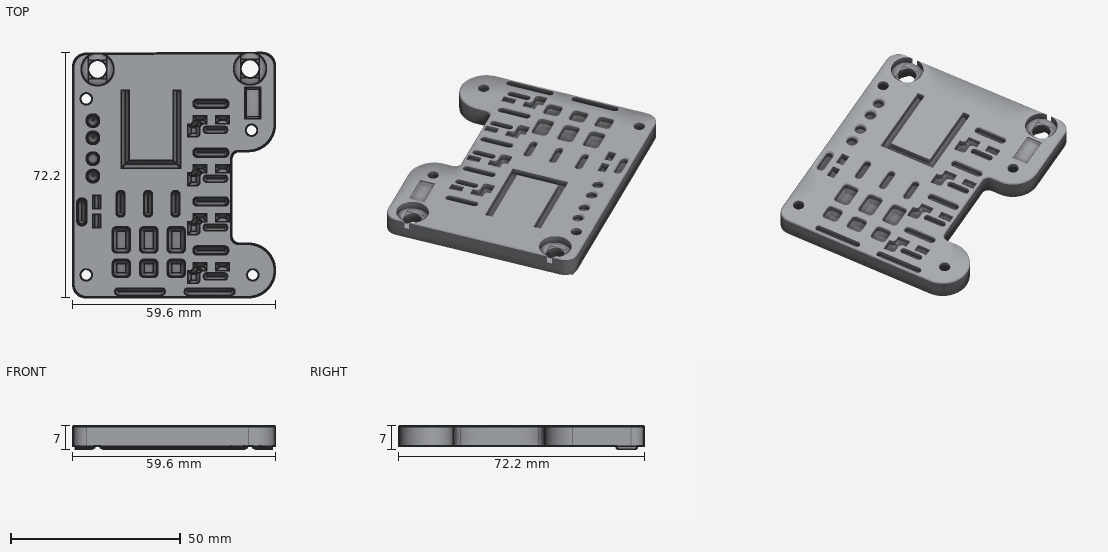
import cadquery as cq
import math

PLATE_THICKNESS = 6.0
PLATE_WIDTH = 59.65
PLATE_LENGTH = 72.2
CORNER_RADIUS = 4.0
TOP_SLOPE = 0.005
RIGHT_TOP_Y = PLATE_LENGTH + TOP_SLOPE * CORNER_RADIUS
LEFT_TOP_Y = RIGHT_TOP_Y - TOP_SLOPE * PLATE_WIDTH
NECK_X = 46.9
TAB_RADIUS = 8.0
LOWER_TAB_TOP = 2 * TAB_RADIUS
UPPER_TAB_BOTTOM = 43.05
NECK_FILLET = 2.0
PLATE_CHAMFER = 0.3

WALL_DEPTH = 2.0
RIM_CHAMFER = 0.25
RIDGE_FLAT = 0.1

COLUMN_COUNT = 3
FIRST_COLUMN_X = 14.3
COLUMN_PITCH = 8.1
COLUMN_SLOT_OFFSET = -0.2
LENS_WIDTH = 4.8
LENS_CORNER = 1.1
LENS_SLOPE = 1.0
LENS_ROWS = [(17.05, 7.2), (8.7, 4.8)]
COLUMN_SLOT_Y = 27.7
COLUMN_SLOT_LENGTH = 7.2
RIMMED_SLOT_WIDTH = 2.1

CHANNEL_COUNT = 4
CHANNEL_SPAN = 43.2
CHANNEL_PITCH = CHANNEL_SPAN / (CHANNEL_COUNT - 1)
LONG_SLOT = (40.7, 57.1, 10.0)
SHORT_SLOT = (42.05, 49.5, 7.1)
PLAIN_SLOT_WIDTH = 2.0
PAD_WIDTH = 4.0
PAD_HEIGHT = 2.3
PAD_WALL = 1.5
PAD_Y = 52.4
LEFT_PAD_X = 37.5
RIGHT_PAD_X = 44.1
LEG_CENTER = (35.6, 49.25)
LEG_WIDTH = 3.55
LEG_HEIGHT = 3.75
LEG_CORNER = 1.1
LEG_SLOPE = 1.0
BRIDGE_CENTER = (36.1, 50.8)
BRIDGE_LENGTH = 3.6
BRIDGE_WIDTH = 2.25
BRIDGE_ANGLE = 45

BOTTOM_SLOT_XS = [19.8, 40.3]
BOTTOM_SLOT_Y = 1.8
BOTTOM_SLOT_LENGTH = 14.8

LEFT_SLOT = (2.7, 25.3, 7.2)
WINDOW_X = 7.0
WINDOW_YS = [28.2, 22.6]
WINDOW_WIDTH = 2.4
WINDOW_HEIGHT = 3.9
WINDOW_SLOPE = 0.7
LED_X = 5.9
CONE_LED_YS = [52.15, 47.1, 35.8]
FLAT_LED_Y = 40.95
LED_DIAMETER = 3.0
LED_RIM = 0.4

GROOVE_LEFT = 14.3
GROOVE_RIGHT = 31.85
GROOVE_BOTTOM = 38.15
GROOVE_TOP = 61.0
GROOVE_WIDTH = 2.3

LABEL_CENTER = (53.0, 57.35)
LABEL_WIDTH = 4.8
LABEL_HEIGHT = 9.2
LABEL_WALL = 0.5
LABEL_SLOPE = 0.5

MOUNT_HOLES = [(4.0, 58.6), (52.65, 49.3), (4.0, 6.7), (53.0, 6.7)]
MOUNT_DIAMETER = 3.3
MOUNT_HEAD_DIAMETER = 4.7
MOUNT_SHOULDER_DEPTH = 1.15
CORNER_HOLES = [(7.3, 67.25), (52.2, 67.45)]
CORNER_HOLE_DIAMETER = 5.4
HEAD_DIAMETER = 9.6
HEAD_DEPTH = 2.3
HEAD_STEP = 0.2

RAIL_DEPTH = 1.0
RAIL_Y = 67.1
RAIL_WIDTH = 6.15
RAIL_LEFT = 0.8
RAIL_RIGHT = 58.8
RAIL_CHAMFER = 0.5
RAIL_RELIEF_DIAMETER = 6.35


def make_plate():
    tab_diagonal = TAB_RADIUS * math.sqrt(0.5)
    lower_center = (PLATE_WIDTH - TAB_RADIUS, TAB_RADIUS)
    upper_center = (PLATE_WIDTH - TAB_RADIUS, UPPER_TAB_BOTTOM + TAB_RADIUS)
    plate = (
        cq.Workplane("XY")
        .lineTo(lower_center[0], 0)
        .threePointArc((PLATE_WIDTH, TAB_RADIUS), (lower_center[0], LOWER_TAB_TOP))
        .lineTo(NECK_X, LOWER_TAB_TOP)
        .lineTo(NECK_X, UPPER_TAB_BOTTOM)
        .lineTo(upper_center[0], UPPER_TAB_BOTTOM)
        .threePointArc(
            (upper_center[0] + tab_diagonal, upper_center[1] - tab_diagonal),
            (PLATE_WIDTH, upper_center[1]),
        )
        .lineTo(PLATE_WIDTH, RIGHT_TOP_Y)
        .lineTo(0, LEFT_TOP_Y)
        .close()
        .extrude(PLATE_THICKNESS)
    )
    reach = 0.7
    for x, y, radius in [
        (0, 0, CORNER_RADIUS),
        (0, LEFT_TOP_Y, CORNER_RADIUS),
        (PLATE_WIDTH, RIGHT_TOP_Y, CORNER_RADIUS),
        (NECK_X, LOWER_TAB_TOP, NECK_FILLET),
        (NECK_X, UPPER_TAB_BOTTOM, NECK_FILLET),
    ]:
        corner = cq.selectors.BoxSelector(
            (x - reach, y - reach, 0),
            (x + reach, y + reach, PLATE_THICKNESS),
        )
        plate = plate.edges("|Z").edges(corner).fillet(radius)
    return plate.faces(">Z").edges().chamfer(PLATE_CHAMFER)


def top_plane(x, y, depth=0.0, angle=0.0):
    """Workplane at a point, the given depth below the top face."""
    plane = cq.Workplane("XY", origin=(x, y, PLATE_THICKNESS - depth))
    return plane.transformed(rotate=(0, 0, angle))


def slope_to_ridge(width):
    return (width - RIDGE_FLAT) / 2


def flared_mouth(profile, rim):
    """45 degree flare from a profile drawn one rim below the top face."""
    return profile.extrude(rim, taper=-45)


def plain_slot(x, y, length, width, angle=0):
    """Round-ended slot with a V bottom."""
    slope = slope_to_ridge(width)
    return (
        top_plane(x, y, angle=angle)
        .slot2D(length, width)
        .extrude(-WALL_DEPTH - slope)
        .faces("<Z")
        .edges()
        .chamfer(slope)
    )


def rimmed_slot(x, y, length, width, angle=0, rim=RIM_CHAMFER):
    """Slot with a V bottom and a chamfered mouth."""
    mouth = top_plane(x, y, depth=rim, angle=angle).slot2D(length, width)
    return plain_slot(x, y, length, width, angle).union(flared_mouth(mouth, rim))


def rect_pocket(x, y, width, height, slope, angle=0, wall=WALL_DEPTH):
    """Rectangular pocket whose four sides slope inward at 45 degrees below the wall."""
    return (
        top_plane(x, y, angle=angle)
        .rect(width, height)
        .extrude(-wall - slope)
        .faces("<Z")
        .edges()
        .chamfer(slope)
    )


def lens_pocket(x, y, height):
    """Rounded pocket with sloped lower sides, a flat floor and a chamfered mouth."""
    pocket = (
        top_plane(x, y)
        .rect(LENS_WIDTH, height)
        .extrude(-WALL_DEPTH - LENS_SLOPE)
        .edges("|Z")
        .fillet(LENS_CORNER)
        .faces("<Z")
        .edges()
        .chamfer(LENS_SLOPE)
    )
    mouth = (
        top_plane(x, y, depth=RIM_CHAMFER)
        .sketch()
        .rect(LENS_WIDTH, height)
        .vertices()
        .fillet(LENS_CORNER)
        .finalize()
    )
    return pocket.union(flared_mouth(mouth, RIM_CHAMFER))


def led_hole(y, cone_bottom):
    """Blind round hole with a wide chamfered mouth and a conical or flat bottom."""
    radius = LED_DIAMETER / 2
    depth = WALL_DEPTH + radius if cone_bottom else WALL_DEPTH
    hole = top_plane(LED_X, y).circle(radius).extrude(-depth)
    if cone_bottom:
        hole = hole.faces("<Z").edges().chamfer(slope_to_ridge(LED_DIAMETER))
    mouth = top_plane(LED_X, y, depth=LED_RIM).circle(radius)
    return hole.union(flared_mouth(mouth, LED_RIM))


def side_window(y):
    """Rectangular pocket with only its two long sides sloped at the bottom."""
    return (
        top_plane(WINDOW_X, y)
        .rect(WINDOW_WIDTH, WINDOW_HEIGHT)
        .extrude(-WALL_DEPTH - WINDOW_SLOPE)
        .faces("<Z")
        .edges("|Y")
        .chamfer(WINDOW_SLOPE)
    )


def screen_groove():
    """V-bottomed groove along the left, right and lower sides of the screen."""
    slope = GROOVE_WIDTH / 2
    width = GROOVE_RIGHT - GROOVE_LEFT
    center_x = (GROOVE_LEFT + GROOVE_RIGHT) / 2
    height = 2 * (GROOVE_TOP - GROOVE_BOTTOM)
    outer = rect_pocket(center_x, GROOVE_TOP, width, height, slope)
    island_width = width - 2 * GROOVE_WIDTH
    island_height = height - 2 * GROOVE_WIDTH
    island = (
        top_plane(center_x, GROOVE_TOP)
        .rect(island_width, island_height)
        .extrude(-WALL_DEPTH - slope)
    )
    foot = (
        top_plane(center_x, GROOVE_TOP, depth=WALL_DEPTH + slope)
        .rect(island_width + 2 * slope, island_height + 2 * slope)
        .extrude(slope)
        .faces(">Z")
        .edges()
        .chamfer(slope - RIDGE_FLAT)
    )
    upper_half = (
        top_plane(center_x, GROOVE_TOP)
        .rect(2 * width, height)
        .extrude(-PLATE_THICKNESS)
        .translate((0, height / 2, 0))
    )
    return outer.cut(island).cut(foot).cut(upper_half)


def channel_cutters(shift):
    """Cutters of one channel, moved down by the given shift."""
    leg = (
        top_plane(LEG_CENTER[0], LEG_CENTER[1] - shift)
        .rect(LEG_WIDTH, LEG_HEIGHT)
        .extrude(-WALL_DEPTH - LEG_SLOPE)
        .edges("|Z and >X and <Y")
        .fillet(LEG_CORNER)
        .faces("<Z")
        .edges()
        .chamfer(LEG_SLOPE)
    )
    pad_slope = slope_to_ridge(PAD_HEIGHT)
    bridge_slope = slope_to_ridge(BRIDGE_WIDTH)
    bridge = rect_pocket(
        BRIDGE_CENTER[0],
        BRIDGE_CENTER[1] - shift,
        BRIDGE_LENGTH,
        BRIDGE_WIDTH,
        bridge_slope,
        angle=BRIDGE_ANGLE,
    )
    return [
        rimmed_slot(LONG_SLOT[0], LONG_SLOT[1] - shift, LONG_SLOT[2], RIMMED_SLOT_WIDTH),
        plain_slot(SHORT_SLOT[0], SHORT_SLOT[1] - shift, SHORT_SLOT[2], PLAIN_SLOT_WIDTH),
        rect_pocket(LEFT_PAD_X, PAD_Y - shift, PAD_WIDTH, PAD_HEIGHT, pad_slope, wall=PAD_WALL),
        rect_pocket(RIGHT_PAD_X, PAD_Y - shift, PAD_WIDTH, PAD_HEIGHT, pad_slope, wall=PAD_WALL),
        leg,
        bridge,
    ]


def mount_hole(x, y):
    """Through hole with a wider bore from below for the screw head."""
    hole = top_plane(x, y).circle(MOUNT_DIAMETER / 2).extrude(-PLATE_THICKNESS)
    head = top_plane(x, y, depth=MOUNT_SHOULDER_DEPTH).circle(MOUNT_HEAD_DIAMETER / 2)
    return hole.union(head.extrude(MOUNT_SHOULDER_DEPTH - PLATE_THICKNESS))


def corner_hole(x, y):
    """Through hole under a round head recess, joined by a band-shaped and a square step."""
    head = top_plane(x, y).circle(HEAD_DIAMETER / 2).extrude(-HEAD_DEPTH)
    column = top_plane(x, y).circle(HEAD_DIAMETER / 2).extrude(-HEAD_DEPTH - HEAD_STEP)
    band = (
        top_plane(x, y)
        .rect(CORNER_HOLE_DIAMETER, HEAD_DIAMETER)
        .extrude(-HEAD_DEPTH - HEAD_STEP)
        .intersect(column)
    )
    square = (
        top_plane(x, y)
        .rect(CORNER_HOLE_DIAMETER, CORNER_HOLE_DIAMETER)
        .extrude(-HEAD_DEPTH - 2 * HEAD_STEP)
    )
    bore = top_plane(x, y).circle(CORNER_HOLE_DIAMETER / 2).extrude(-PLATE_THICKNESS - RAIL_DEPTH)
    return head.union(band).union(square).union(bore)


def make_rail():
    """Rail under the upper side, chamfered along its length and relieved round the corner holes."""
    rail = (
        cq.Workplane("XY")
        .center((RAIL_LEFT + RAIL_RIGHT) / 2, RAIL_Y)
        .rect(RAIL_RIGHT - RAIL_LEFT, RAIL_WIDTH)
        .extrude(-RAIL_DEPTH)
        .faces("<Z")
        .edges("|X")
        .chamfer(RAIL_CHAMFER)
    )
    relief = (
        cq.Workplane("XY")
        .pushPoints([(x, RAIL_Y) for x, _ in CORNER_HOLES])
        .circle(RAIL_RELIEF_DIAMETER / 2)
        .extrude(-RAIL_DEPTH)
    )
    return rail.cut(relief)


cutters = []
for index in range(CHANNEL_COUNT):
    cutters += channel_cutters(index * CHANNEL_PITCH)
for index in range(COLUMN_COUNT):
    x = FIRST_COLUMN_X + index * COLUMN_PITCH
    slot_x = x + COLUMN_SLOT_OFFSET
    cutters.append(rimmed_slot(slot_x, COLUMN_SLOT_Y, COLUMN_SLOT_LENGTH, RIMMED_SLOT_WIDTH, angle=90))
    cutters += [lens_pocket(x, y, height) for y, height in LENS_ROWS]
for x in BOTTOM_SLOT_XS:
    cutters.append(plain_slot(x, BOTTOM_SLOT_Y, BOTTOM_SLOT_LENGTH, PLAIN_SLOT_WIDTH))
cutters.append(rimmed_slot(*LEFT_SLOT, RIMMED_SLOT_WIDTH, angle=90, rim=LED_RIM))
cutters += [side_window(y) for y in WINDOW_YS]
cutters += [led_hole(y, cone_bottom=True) for y in CONE_LED_YS]
cutters.append(led_hole(FLAT_LED_Y, cone_bottom=False))
cutters.append(screen_groove())
cutters.append(rect_pocket(*LABEL_CENTER, LABEL_WIDTH, LABEL_HEIGHT, LABEL_SLOPE, wall=LABEL_WALL))
cutters += [mount_hole(x, y) for x, y in MOUNT_HOLES]
cutters += [corner_hole(x, y) for x, y in CORNER_HOLES]

result = make_plate().union(make_rail())
for cutter in cutters:
    result = result.cut(cutter)